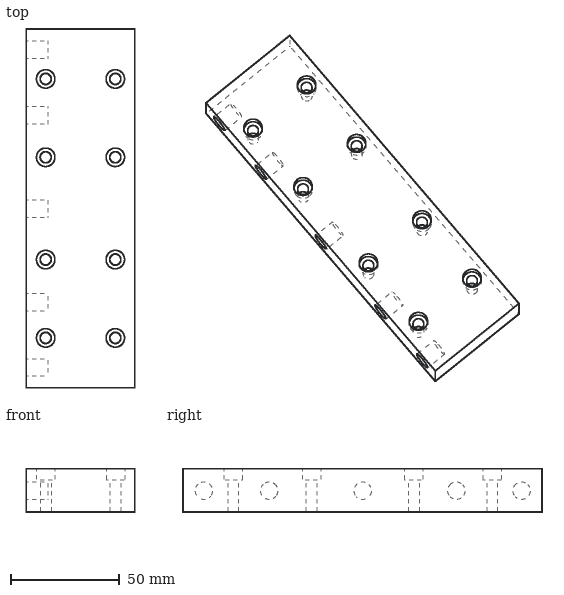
import cadquery as cq

WIDTH = 50.0
LENGTH = 165.0
HEIGHT = 20.0

BOLT_DIAMETER = 5.0
COUNTERBORE_DIAMETER = 8.5
COUNTERBORE_DEPTH = 5.0
BOLT_SPACING_X = 32.0
BOLT_INNER_SPACING_Y = 47.0
BOLT_PITCH_Y = 36.0

SIDE_HOLE_DIAMETER = 8.0
SIDE_HOLE_DEPTH = 10.0
SIDE_HOLE_INNER_Y = 43.0
SIDE_HOLE_OUTER_Y = 73.0


def make_block():
    return cq.Workplane("XY").box(WIDTH, LENGTH, HEIGHT)


def bolt_positions():
    x = BOLT_SPACING_X / 2
    inner_y = BOLT_INNER_SPACING_Y / 2
    outer_y = inner_y + BOLT_PITCH_Y
    return [(sx * x, sy * y) for sx in (-1, 1) for sy in (-1, 1) for y in (inner_y, outer_y)]


def cut_bolt_holes(body):
    top = body.faces(">Z").workplane(origin=(0, 0, 0))
    return top.pushPoints(bolt_positions()).cboreHole(
        BOLT_DIAMETER, COUNTERBORE_DIAMETER, COUNTERBORE_DEPTH
    )


def cut_side_holes(body):
    positions = (-SIDE_HOLE_OUTER_Y, -SIDE_HOLE_INNER_Y, 0, SIDE_HOLE_INNER_Y, SIDE_HOLE_OUTER_Y)
    holes = (
        cq.Workplane("YZ", origin=(-WIDTH / 2, 0, 0))
        .pushPoints([(y, 0) for y in positions])
        .circle(SIDE_HOLE_DIAMETER / 2)
        .extrude(SIDE_HOLE_DEPTH)
    )
    return body.cut(holes)


result = cut_side_holes(cut_bolt_holes(make_block()))